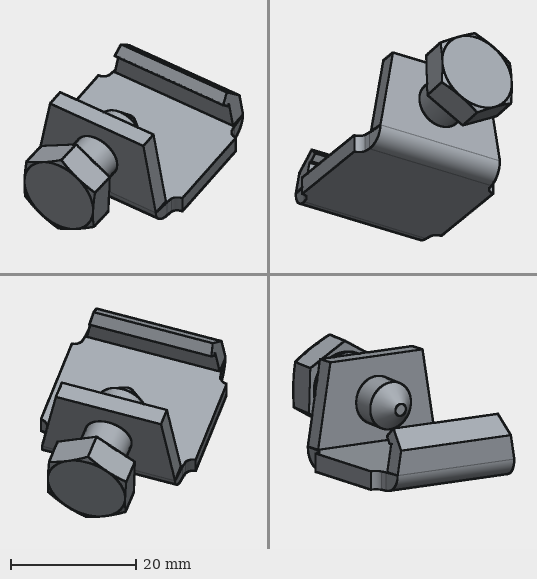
import cadquery as cq
import math

PLATE_SIZE = 26.0
THICKNESS = 3.0
FRONT_HEIGHT = 17.0
FRONT_TOP_WIDTH = 17.65
NECK_WIDTH = 22.85
FLANGE_WIDTH = 22.35
RELIEF_RADIUS = 1.5
RELIEF_SETBACK = 5.0

HOOK_SHOULDER_HEIGHT = 7.0
HOOK_UNDERSIDE_HEIGHT = 7.5
HOOK_TIP_REACH = 1.5

BOLT_TILT = 3.0
HEAD_FACE_Y = -24.285
HEAD_FACE_Z = 10.57
HEAD_ACROSS_FLATS = 12.98
HEAD_THICKNESS = 4.78
HEAD_CHAMFER_HEIGHT = 0.38
COLLAR_DIAMETER = 11.4
COLLAR_THICKNESS = 0.53
SHANK_DIAMETER = 7.8
SHANK_LENGTH = 16.0
POINT_DIAMETER = 2.0

HALF_SIZE = PLATE_SIZE / 2
INNER_Y = HALF_SIZE - THICKNESS
RELIEF_CENTRE_Y = HALF_SIZE - RELIEF_SETBACK + RELIEF_RADIUS
FLANGE_SLOPE = (FLANGE_WIDTH - FRONT_TOP_WIDTH) / (FRONT_HEIGHT - THICKNESS)
HOOK_PEAK_HEIGHT = HOOK_SHOULDER_HEIGHT + THICKNESS
HEAD_ACROSS_CORNERS = HEAD_ACROSS_FLATS / math.cos(math.radians(30))
BOLT_LENGTH = HEAD_THICKNESS + COLLAR_THICKNESS + SHANK_LENGTH
POINT_LENGTH = (SHANK_DIAMETER - POINT_DIAMETER) / 2

BOLT_PLANE = cq.Plane(
    origin=(0, HEAD_FACE_Y, HEAD_FACE_Z),
    xDir=(1, 0, 0),
    normal=(0, math.cos(math.radians(BOLT_TILT)), -math.sin(math.radians(BOLT_TILT))),
)


def make_base():
    """Flat plate and both bends, with tapered ends and round corner reliefs.

    Each tapered end starts inside the plate and cuts the relief arcs short.
    """
    corner_offset = THICKNESS * math.sqrt(0.5)
    section = (
        cq.Workplane("YZ")
        .moveTo(-HALF_SIZE, THICKNESS)
        .lineTo(HALF_SIZE, THICKNESS)
        .threePointArc((INNER_Y + corner_offset, THICKNESS - corner_offset), (INNER_Y, 0))
        .lineTo(-INNER_Y, 0)
        .threePointArc((-INNER_Y - corner_offset, THICKNESS - corner_offset), (-HALF_SIZE, THICKNESS))
        .close()
        .extrude(HALF_SIZE, both=True)
    )
    root_y = HALF_SIZE - RELIEF_SETBACK
    root_half = (NECK_WIDTH + FLANGE_SLOPE * (INNER_Y - root_y)) / 2
    neck_half = NECK_WIDTH / 2
    tip_half = FLANGE_WIDTH / 2
    reliefs = (
        cq.Workplane("XY")
        .rect(PLATE_SIZE, 2 * RELIEF_CENTRE_Y, forConstruction=True)
        .vertices()
        .circle(RELIEF_RADIUS)
        .extrude(THICKNESS)
    )
    plan = cq.Workplane("XY").rect(PLATE_SIZE, 2 * RELIEF_CENTRE_Y).extrude(THICKNESS).cut(reliefs)
    for side in (-1, 1):
        end = (
            cq.Workplane("XY")
            .polyline([
                (-root_half, side * root_y),
                (root_half, side * root_y),
                (neck_half, side * INNER_Y),
                (tip_half, side * HALF_SIZE),
                (-tip_half, side * HALF_SIZE),
                (-neck_half, side * INNER_Y),
            ])
            .close()
            .extrude(THICKNESS)
        )
        plan = plan.union(end)
    return section.intersect(plan)


def make_flange(side_profile, height):
    """Upright flange with the given YZ profile, narrowing towards its top."""
    top_width = FLANGE_WIDTH - FLANGE_SLOPE * (height - THICKNESS)
    outline = (
        cq.Workplane("XZ")
        .polyline([
            (-FLANGE_WIDTH / 2, THICKNESS),
            (FLANGE_WIDTH / 2, THICKNESS),
            (top_width / 2, height),
            (-top_width / 2, height),
        ])
        .close()
        .extrude(HALF_SIZE, both=True)
    )
    slab = cq.Workplane("YZ").polyline(side_profile).close().extrude(HALF_SIZE, both=True)
    return slab.intersect(outline)


def make_bracket():
    """Base, plain front flange with the bolt hole, and hooked rear flange."""
    front_profile = [
        (-HALF_SIZE, THICKNESS),
        (-INNER_Y, THICKNESS),
        (-INNER_Y, FRONT_HEIGHT),
        (-HALF_SIZE, FRONT_HEIGHT),
    ]
    tip_y = INNER_Y - HOOK_TIP_REACH
    tip_z = HOOK_PEAK_HEIGHT - HOOK_TIP_REACH
    hook_profile = [
        (HALF_SIZE, THICKNESS),
        (HALF_SIZE, HOOK_SHOULDER_HEIGHT),
        (INNER_Y, HOOK_PEAK_HEIGHT),
        (tip_y, tip_z),
        (tip_y + tip_z - HOOK_UNDERSIDE_HEIGHT, HOOK_UNDERSIDE_HEIGHT),
        (INNER_Y, HOOK_UNDERSIDE_HEIGHT),
        (INNER_Y, THICKNESS),
    ]
    bolt_hole = cq.Workplane(BOLT_PLANE).circle(SHANK_DIAMETER / 2).extrude(BOLT_LENGTH)
    return (
        make_base()
        .union(make_flange(front_profile, FRONT_HEIGHT))
        .union(make_flange(hook_profile, HOOK_PEAK_HEIGHT))
        .cut(bolt_hole)
    )


def make_bolt():
    """Hexagon bolt with a chamfered head, a round collar and a conical point."""
    hexagon = (
        cq.Workplane(BOLT_PLANE)
        .transformed(rotate=(0, 0, 90))
        .polygon(6, HEAD_ACROSS_CORNERS)
        .extrude(HEAD_THICKNESS)
    )
    corner_cut = (HEAD_ACROSS_CORNERS - HEAD_ACROSS_FLATS) / 2
    chamfer_envelope = (
        cq.Workplane(BOLT_PLANE)
        .circle(HEAD_ACROSS_CORNERS / 2)
        .extrude(HEAD_THICKNESS)
        .faces(cq.selectors.DirectionMinMaxSelector(BOLT_PLANE.zDir, False))
        .chamfer(HEAD_CHAMFER_HEIGHT, corner_cut)
    )
    head = hexagon.intersect(chamfer_envelope)
    collar = (
        cq.Workplane(BOLT_PLANE)
        .workplane(offset=HEAD_THICKNESS)
        .circle(COLLAR_DIAMETER / 2)
        .extrude(COLLAR_THICKNESS)
    )
    shank = (
        cq.Workplane(BOLT_PLANE)
        .workplane(offset=HEAD_THICKNESS + COLLAR_THICKNESS)
        .circle(SHANK_DIAMETER / 2)
        .extrude(SHANK_LENGTH)
        .faces(cq.selectors.DirectionMinMaxSelector(BOLT_PLANE.zDir, True))
        .chamfer(POINT_LENGTH)
    )
    return head.union(collar).union(shank)


bracket = make_bracket()
bolt = make_bolt()
result = cq.Compound.makeCompound([bracket.val(), bolt.val()])